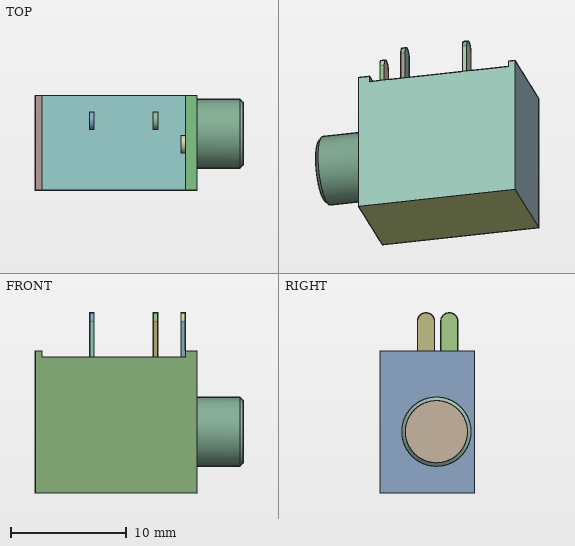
import cadquery as cq

total_length = 18.0
total_height = 15.6
body_width = 8.2

barrel_length = 4.0
barrel_diameter = 6.0
barrel_chamfer = 0.3
barrel_y = 4.9
barrel_z = 5.31

body_length = total_length - barrel_length
body_height = 12.3
recess_depth = 0.5
rear_rim = 0.6
front_rim = 1.0
floor_z = body_height - recess_depth
recess_length = body_length - rear_rim - front_rim

pin_thickness = 0.4
pin_width = 1.5
rear_pin_x = 4.7
middle_pin_x = 10.2
front_pin_x = body_length - front_rim - pin_thickness
outer_pin_y = 6.01
inner_pin_y = 4.0
pin_places = [
    (rear_pin_x, outer_pin_y),
    (middle_pin_x, outer_pin_y),
    (front_pin_x, inner_pin_y),
]


def make_body():
    block = cq.Workplane("XY").box(body_length, body_width, body_height, centered=False)
    recess = (
        cq.Workplane("XY")
        .box(recess_length, body_width, recess_depth, centered=False)
        .translate((rear_rim, 0, floor_z))
    )
    return block.cut(recess)


def make_barrel():
    return (
        cq.Workplane("YZ", origin=(body_length, barrel_y, barrel_z))
        .circle(barrel_diameter / 2)
        .extrude(barrel_length)
        .faces(">X")
        .chamfer(barrel_chamfer)
    )


def make_pin(x, y):
    """Pin with its -X face at x, centred on y, standing on the recess floor."""
    half_width = pin_width / 2
    shoulder_z = total_height - half_width
    return (
        cq.Workplane("YZ", origin=(x, y, 0))
        .moveTo(-half_width, floor_z)
        .lineTo(half_width, floor_z)
        .lineTo(half_width, shoulder_z)
        .threePointArc((0, total_height), (-half_width, shoulder_z))
        .close()
        .extrude(pin_thickness)
    )


result = make_body().union(make_barrel())
for pin_x, pin_y in pin_places:
    result = result.union(make_pin(pin_x, pin_y))